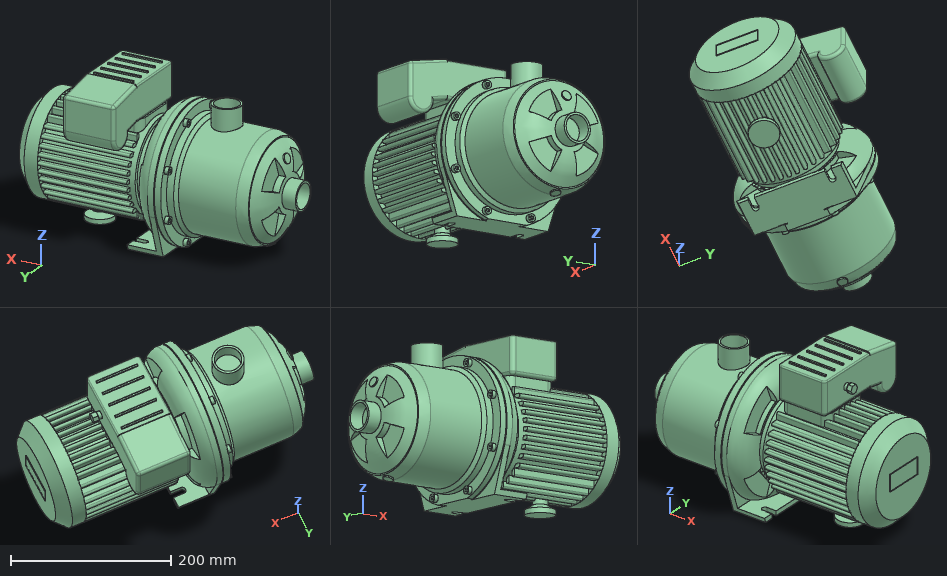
import cadquery as cq
import math


PORT_DIA = 40.0
PORT_BORE = 34.0
PORT_DEPTH = 19.5
DOME_DIA = 136.0
DOME_END = 39.0
DOME_MID_X = 24.0
DOME_MID_R = 45.5
STEP_DIA = 140.0
SHOULDER_MID_X = 47.0
SHOULDER_MID_R = 73.0
SHOULDER_END = 54.5
CASING_DIA = 150.0
CASING_END = 136.5
COLLAR_DIA = 160.0
COLLAR_START = 140.5

POCKET_FLOOR = 29.7
POCKET_INNER_R = 27.5
POCKET_HALF_ANGLE = 24.5

PLUG_DIA = 13.5
PLUG_RISE = 2.0
FILL_PLUG_X = 24.5
FILL_PLUG_R = 46.0
FILL_PLUG_TILT = 21.0
DRAIN_PLUG_X = 47.5
DRAIN_PLUG_R = 73.0
DRAIN_PLUG_TILT = 70.0

DISCHARGE_X = 109.5
DISCHARGE_TOP = 103.0

FLANGE_START = 150.8
FLANGE_DIA = 189.5
BRACKET_START = 160.5
BRACKET_END = 170.0
SEAM_WIDTH = 0.8
SEAM_DEPTH = 1.0
GROUND_Z = -90.2
TANGENT_Z = -30.0
FOOT_THICK = 7.0
FOOT_END = 212.0
SLOT_WIDTH = 8.5
SLOT_LENGTH = 18.8
SLOT_Y = 52.3

LANTERN_END = 195.0
LANTERN_MID_X = 187.0
LANTERN_MID_R = 84.2
NECK_DIA = 120.0
WINDOW_FLOOR = 185.5
WINDOW_HALF_ANGLE = 22.5

CORE_DIA = 130.0
CORE_START = 204.0
FIN_START = 212.0
FIN_THICK = 5.3
FINS_PER_SIDE = 9
OUTER_FIN_OFFSET = 44.5
FIN_PITCH = 2 * OUTER_FIN_OFFSET / (FINS_PER_SIDE - 1)
CAP_START = 340.0
CAP_BEVEL_START = 359.0
CAP_END = 375.0
CAP_DIA = 145.0
CAP_END_DIA = 113.5
PLATE_WIDTH = 56.5
PLATE_HEIGHT = 25.0
PLATE_Z = 3.5
TOTAL_LENGTH = 376.0

ROOT = 3.8

SUPPORT_X = 291.5
SUPPORT_DIA = 40.0
SUPPORT_STEM_DIA = 20.0
SUPPORT_PAD_TOP = -83.5
SUPPORT_CONE_TOP = -77.5

BOX_START = 211.0
BOX_END = 285.5
BOX_FRONT = -44.0
BOX_RIDGE_Y = 49.0
BOX_BACK = 106.5
BOX_BOTTOM = 73.0
BOX_TOP = 123.7
BOX_RIDGE_Z = 125.5
BOX_BACK_TOP = 115.5
BOX_ROUND = 4.5
BOX_LID_ROUND = 2.0
BOX_CORNER_ROUND = 5.5
HOOK_RADIUS = 18.8
HOOK_Z = 69.0
RIB_LENGTH = 56.8
RIB_WIDTH = 2.5
RIB_PITCH = 18.0
RIB_COUNT = 5
RIB_CENTRE_Y = 5.3
PEDESTAL_DEPTH = 73.7
PEDESTAL_ROUND = 10.5
PEDESTAL_END = 284.5
GLAND_Z = 98.5
GLAND_DIA = 10.0
GLAND_NUT_DIA = 13.5
GLAND_NUT_START = 290.3
GLAND_END = 297.8

SCREW_COUNT = 8
SCREW_CIRCLE_R = 87.5
SCREW_HEAD_DIA = 10.0
SCREW_HEAD_HEIGHT = 5.5
SCREW_SOCKET_DIA = 5.3
SCREW_SOCKET_DEPTH = 3.0


def bar(start, end, diameter):
    """Cylinder along the shaft axis."""
    return cq.Workplane("YZ", origin=(start, 0, 0)).circle(diameter / 2).extrude(end - start)


def revolve_about_shaft(profile):
    """Full turn about X of a half profile drawn with Y as the radius."""
    return profile.close().revolve(360, (0, 0, 0), (1, 0, 0))


def above_ground(height):
    """Slab under the whole pump, from the ground up to the given height."""
    return (
        cq.Workplane("XY", origin=(TOTAL_LENGTH / 2, 0, GROUND_Z))
        .rect(TOTAL_LENGTH, TOTAL_LENGTH)
        .extrude(height)
    )


def sectors(start, end, inner_r, outer_r, half_angle):
    """Four ring sectors centred on the diagonals between the Y and Z axes."""
    ring = bar(start, end, 2 * outer_r).cut(bar(start, end, 2 * inner_r))
    reach = 2 * outer_r
    spread = reach * math.tan(math.radians(half_angle))
    wedge = (
        cq.Workplane("YZ", origin=(start, 0, 0))
        .polyline([(0, 0), (reach, spread), (reach, -spread)])
        .close()
        .extrude(end - start)
    )
    four_sectors = cq.Workplane("YZ")
    for quarter in range(4):
        turned = wedge.rotate((0, 0, 0), (1, 0, 0), 45 + 90 * quarter)
        four_sectors = four_sectors.add(ring.intersect(turned))
    return four_sectors.combine()


def plug(x, z, direction_x, direction_z):
    """Short round plug standing on a surface at (x, z) along the given direction."""
    base = (x - ROOT * direction_x, 0, z - ROOT * direction_z)
    seat = cq.Plane(origin=base, xDir=(0, 1, 0), normal=(direction_x, 0, direction_z))
    return cq.Workplane(seat).circle(PLUG_DIA / 2).extrude(ROOT + PLUG_RISE)


def make_casing():
    """Domed cylinder with a suction port in front, a discharge port on top and two plugs."""
    profile = (
        cq.Workplane("XY")
        .moveTo(PORT_DEPTH, 0)
        .lineTo(PORT_DEPTH, PORT_DIA / 2)
        .threePointArc((DOME_MID_X, DOME_MID_R), (DOME_END, DOME_DIA / 2))
        .lineTo(DOME_END, STEP_DIA / 2)
        .threePointArc((SHOULDER_MID_X, SHOULDER_MID_R), (SHOULDER_END, CASING_DIA / 2))
        .lineTo(CASING_END, CASING_DIA / 2)
        .lineTo(COLLAR_START, COLLAR_DIA / 2)
        .lineTo(FLANGE_START, COLLAR_DIA / 2)
        .lineTo(FLANGE_START, 0)
    )
    casing = revolve_about_shaft(profile)
    casing = casing.cut(sectors(0, POCKET_FLOOR, POCKET_INNER_R, DOME_DIA / 2, POCKET_HALF_ANGLE))

    suction = bar(0, PORT_DEPTH, PORT_DIA).cut(bar(0, PORT_DEPTH, PORT_BORE))
    discharge = cq.Workplane("XY", origin=(DISCHARGE_X, 0, 0)).circle(PORT_DIA / 2).extrude(DISCHARGE_TOP)
    bore = (
        cq.Workplane("XY", origin=(DISCHARGE_X, 0, DISCHARGE_TOP))
        .circle(PORT_BORE / 2)
        .extrude(-PORT_DEPTH)
    )

    fill_tilt = math.radians(FILL_PLUG_TILT)
    fill_plug = plug(FILL_PLUG_X, FILL_PLUG_R, -math.cos(fill_tilt), math.sin(fill_tilt))
    drain_tilt = math.radians(DRAIN_PLUG_TILT)
    drain_plug = plug(DRAIN_PLUG_X, -DRAIN_PLUG_R, -math.cos(drain_tilt), -math.sin(drain_tilt))
    return casing.union(suction).union(discharge).cut(bore).union(fill_plug).union(drain_plug)


def bracket_outline(start, end):
    """Flange disc continued by two tangent sides down to the ground."""
    radius = FLANGE_DIA / 2
    tangent_y = math.sqrt(radius**2 - TANGENT_Z**2)
    ground_y = tangent_y + (GROUND_Z - TANGENT_Z) * -TANGENT_Z / tangent_y
    return (
        cq.Workplane("YZ", origin=(start, 0, 0))
        .moveTo(-ground_y, GROUND_Z)
        .lineTo(-tangent_y, TANGENT_Z)
        .threePointArc((0, radius), (tangent_y, TANGENT_Z))
        .lineTo(ground_y, GROUND_Z)
        .close()
        .extrude(end - start)
    )


def make_bracket():
    """Round flange, upright plate and slotted foot plate, all cut level at the ground."""
    flange = bar(FLANGE_START, BRACKET_START, FLANGE_DIA).intersect(above_ground(TOTAL_LENGTH))
    upright = bracket_outline(BRACKET_START + SEAM_WIDTH, BRACKET_END)
    seam = bar(BRACKET_START, BRACKET_START + SEAM_WIDTH, FLANGE_DIA - 2 * SEAM_DEPTH)
    seam = seam.intersect(above_ground(TOTAL_LENGTH))
    foot = bracket_outline(BRACKET_END, FOOT_END).intersect(above_ground(FOOT_THICK))
    slots = (
        cq.Workplane("XY", origin=(FOOT_END, 0, GROUND_Z))
        .pushPoints([(0, -SLOT_Y), (0, SLOT_Y)])
        .slot2D(2 * SLOT_LENGTH, SLOT_WIDTH)
        .extrude(FOOT_THICK)
    )
    return flange.union(seam).union(upright).union(foot.cut(slots))


def make_lantern():
    """Bell with four windows around the neck that leads to the motor."""
    profile = (
        cq.Workplane("XY")
        .moveTo(BRACKET_END, 0)
        .lineTo(BRACKET_END, FLANGE_DIA / 2)
        .threePointArc((LANTERN_MID_X, LANTERN_MID_R), (LANTERN_END, NECK_DIA / 2))
        .lineTo(LANTERN_END, 0)
    )
    windows = sectors(WINDOW_FLOOR, LANTERN_END, NECK_DIA / 2, FLANGE_DIA / 2, WINDOW_HALF_ANGLE)
    bell = revolve_about_shaft(profile).intersect(above_ground(TOTAL_LENGTH))
    bell = bell.cut(windows).cut(bar(BRACKET_END, LANTERN_END, NECK_DIA))
    return bell.union(bar(BRACKET_END, CORE_START, NECK_DIA))


def make_fin(offset):
    """Upright fin with a rounded tip that touches the cap's outer diameter."""
    shoulder = math.sqrt((CAP_DIA / 2) ** 2 - offset**2) - FIN_THICK / 2
    return (
        cq.Workplane("YZ", origin=(FIN_START, 0, 0))
        .moveTo(offset - FIN_THICK / 2, 0)
        .lineTo(offset - FIN_THICK / 2, shoulder)
        .threePointArc((offset, shoulder + FIN_THICK / 2), (offset + FIN_THICK / 2, shoulder))
        .lineTo(offset + FIN_THICK / 2, 0)
        .close()
        .extrude(CAP_START - FIN_START)
    )


def make_motor():
    """Finned core with an end cap and a nameplate."""
    motor = bar(CORE_START, CAP_START, CORE_DIA)
    for side in range(4):
        for number in range(FINS_PER_SIDE):
            fin = make_fin(number * FIN_PITCH - OUTER_FIN_OFFSET)
            motor = motor.union(fin.rotate((0, 0, 0), (1, 0, 0), 90 * side))

    corner_relief = (
        cq.Workplane("XY", origin=(BOX_START + PEDESTAL_ROUND / 2, 0, 0))
        .rect(PEDESTAL_ROUND, PEDESTAL_DEPTH)
        .extrude(BOX_TOP)
        .cut(bar(BOX_START, CAP_START, CORE_DIA))
    )
    motor = motor.cut(corner_relief)

    cap = (
        cq.Workplane("XY")
        .moveTo(CAP_START, 0)
        .lineTo(CAP_START, CAP_DIA / 2)
        .lineTo(CAP_BEVEL_START, CAP_DIA / 2)
        .lineTo(CAP_END, CAP_END_DIA / 2)
        .lineTo(CAP_END, 0)
    )
    nameplate = (
        cq.Workplane("YZ", origin=(CAP_END, 0, PLATE_Z))
        .rect(PLATE_WIDTH, PLATE_HEIGHT)
        .extrude(TOTAL_LENGTH - CAP_END)
    )
    return motor.union(revolve_about_shaft(cap)).union(nameplate)


def make_support():
    """Round support foot under the motor."""
    return (
        cq.Workplane("XZ")
        .moveTo(0, GROUND_Z)
        .lineTo(SUPPORT_DIA / 2, GROUND_Z)
        .lineTo(SUPPORT_DIA / 2, SUPPORT_PAD_TOP)
        .lineTo(SUPPORT_STEM_DIA / 2, SUPPORT_CONE_TOP)
        .lineTo(SUPPORT_STEM_DIA / 2, ROOT - CORE_DIA / 2)
        .lineTo(0, ROOT - CORE_DIA / 2)
        .close()
        .revolve(360, (0, 0, 0), (0, 1, 0))
        .translate((SUPPORT_X, 0, 0))
    )


def make_terminal_box():
    """Rounded box with a ribbed lid, a sloped rear with a hanging hook, and a pedestal."""
    length = BOX_END - BOX_START
    middle = (BOX_START + BOX_END) / 2
    front = (
        cq.Workplane("XY", origin=(middle, (BOX_FRONT + BOX_RIDGE_Y) / 2, BOX_BOTTOM))
        .rect(length, BOX_RIDGE_Y - BOX_FRONT)
        .extrude(BOX_TOP - BOX_BOTTOM)
        .edges("|Z and <Y")
        .fillet(BOX_CORNER_ROUND)
        .faces(">Z")
        .edges("not >Y")
        .fillet(BOX_LID_ROUND)
        .faces("<Z")
        .edges("not >Y")
        .fillet(BOX_ROUND)
    )
    hook_y = BOX_BACK - HOOK_RADIUS
    back = (
        cq.Workplane("YZ", origin=(BOX_START, 0, 0))
        .moveTo(BOX_RIDGE_Y, BOX_BOTTOM)
        .lineTo(BOX_RIDGE_Y, BOX_RIDGE_Z)
        .lineTo(BOX_BACK, BOX_BACK_TOP)
        .lineTo(BOX_BACK, HOOK_Z)
        .threePointArc((hook_y, HOOK_Z - HOOK_RADIUS), (hook_y - HOOK_RADIUS, HOOK_Z))
        .close()
        .extrude(length)
        .edges(cq.NearestToPointSelector((middle, BOX_BACK, BOX_BACK_TOP)))
        .fillet(BOX_ROUND)
        .faces("<X or >X")
        .edges("not <Y")
        .fillet(BOX_ROUND)
    )
    ribs = (
        cq.Workplane("XY", origin=(middle, RIB_CENTRE_Y, BOX_TOP))
        .rarray(3.8, RIB_PITCH, 1, RIB_COUNT)
        .rect(RIB_LENGTH, RIB_WIDTH)
        .extrude(BOX_RIDGE_Z - BOX_TOP)
    )
    pedestal_length = PEDESTAL_END - BOX_START
    pedestal = (
        cq.Workplane("XY", origin=(BOX_START + pedestal_length / 2, 0, 0))
        .rect(pedestal_length, PEDESTAL_DEPTH)
        .extrude(BOX_BOTTOM)
        .edges("|Z")
        .fillet(PEDESTAL_ROUND)
    )
    return front.union(back).union(ribs).union(pedestal)


def make_gland():
    """Cable gland on the rear wall of the terminal box."""
    stem = bar(BOX_END - ROOT, GLAND_END, GLAND_DIA)
    nut = (
        cq.Workplane("YZ", origin=(GLAND_NUT_START, 0, 0))
        .polygon(6, GLAND_NUT_DIA)
        .extrude(GLAND_END - GLAND_NUT_START)
    )
    return stem.union(nut).translate((0, 0, GLAND_Z))


def make_pump():
    """Everything except the screws is one body."""
    pump = make_casing().union(make_bracket()).union(make_lantern()).union(make_motor())
    return pump.union(make_support()).union(make_terminal_box()).union(make_gland())


def make_screw(number):
    """Socket head resting on the flange, one of an even ring that starts half a step off the Y axis."""
    head_start = FLANGE_START - SCREW_HEAD_HEIGHT
    step = 360 / SCREW_COUNT
    head = bar(head_start, FLANGE_START, SCREW_HEAD_DIA)
    socket = (
        cq.Workplane("YZ", origin=(head_start, 0, 0))
        .polygon(6, SCREW_SOCKET_DIA)
        .extrude(SCREW_SOCKET_DEPTH)
    )
    screw = head.cut(socket).translate((0, SCREW_CIRCLE_R, 0))
    return screw.rotate((0, 0, 0), (1, 0, 0), step * (number + 0.5))


pump = make_pump()
screws = [make_screw(number).val() for number in range(SCREW_COUNT)]

result = cq.Compound.makeCompound([pump.val(), *screws])